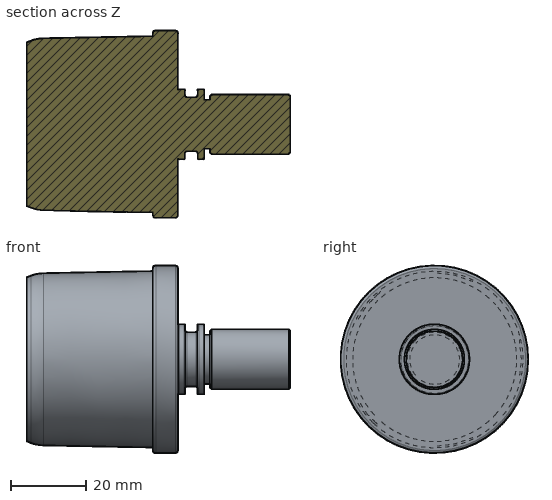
import cadquery as cq
import math

total_length = 70.2
front_bevel_length = 1.05
shoulder_end = 4.5
flange_start = 33.55
flange_width = 6.75
flange_end = flange_start + flange_width
collar_width = 1.9
collar_gap = 3.2
groove_start = flange_end + collar_width
groove_end = groove_start + collar_gap
neck_start = groove_end + collar_width
stem_start = 48.8

bevel_radius = 22.25
shoulder_radius = 22.95
head_base_radius = 23.5
flange_radius = 50.0 / 2
collar_radius = 18.75 / 2
groove_radius = 14.5 / 2
neck_radius = 13.2 / 2
stem_radius = 16.0 / 2

flange_fillet = 0.8
collar_fillet = 0.35
groove_fillet = 0.4
stem_chamfer = 0.5


def disc(start, length, radius):
    """Cylinder on the X axis."""
    return cq.Workplane("YZ", origin=(start, 0, 0)).circle(radius).extrude(length)


def make_head():
    """Solid head: front bevel, rounded shoulder tangent to a slightly tapered wall."""
    taper_angle = math.atan2(head_base_radius - shoulder_radius, flange_start - shoulder_end)
    chord_angle = math.atan2(shoulder_radius - bevel_radius, shoulder_end - front_bevel_length)
    bevel_angle = 2 * chord_angle - taper_angle
    face_radius = bevel_radius - front_bevel_length * math.tan(bevel_angle)
    return (
        cq.Workplane("XY")
        .lineTo(0, face_radius)
        .lineTo(front_bevel_length, bevel_radius)
        .tangentArcPoint((shoulder_end, shoulder_radius), relative=False)
        .lineTo(flange_start, head_base_radius)
        .lineTo(flange_start, 0)
        .close()
        .revolve(360, (0, 0, 0), (1, 0, 0))
    )


def make_flange():
    return disc(flange_start, flange_width, flange_radius).edges().fillet(flange_fillet)


def make_collar(start):
    return disc(start, collar_width, collar_radius).edges().fillet(collar_fillet)


def make_groove_core():
    """Core between the collars, flaring into both of them with concave fillets."""
    flare_radius = groove_radius + groove_fillet
    inset = groove_fillet * (1 - math.sqrt(0.5))
    return (
        cq.Workplane("XY")
        .moveTo(groove_start, 0)
        .lineTo(groove_start, flare_radius)
        .threePointArc(
            (groove_start + inset, groove_radius + inset),
            (groove_start + groove_fillet, groove_radius),
        )
        .lineTo(groove_end - groove_fillet, groove_radius)
        .threePointArc(
            (groove_end - inset, groove_radius + inset),
            (groove_end, flare_radius),
        )
        .lineTo(groove_end, 0)
        .close()
        .revolve(360, (0, 0, 0), (1, 0, 0))
    )


def make_neck():
    return disc(neck_start, stem_start - neck_start, neck_radius)


def make_stem():
    return disc(stem_start, total_length - stem_start, stem_radius).edges().chamfer(stem_chamfer)


result = (
    make_head()
    .union(make_flange())
    .union(make_collar(flange_end))
    .union(make_groove_core())
    .union(make_collar(groove_end))
    .union(make_neck())
    .union(make_stem())
)